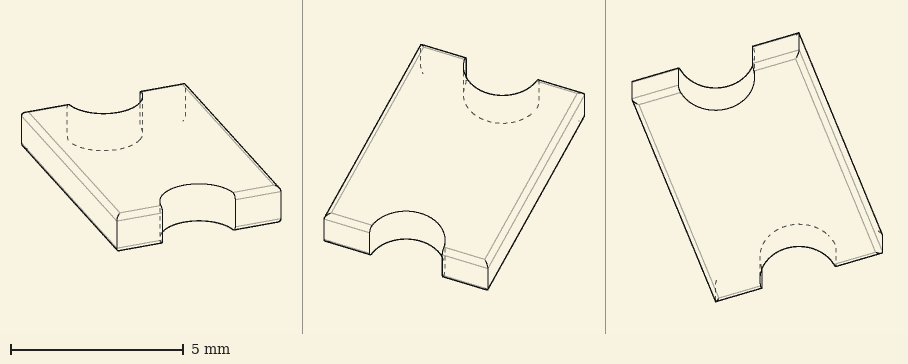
import cadquery as cq

length = 7.36
width = 5.12
thickness = 1.2

edge_radius = 0.16
notch_radius = 1.13

body = cq.Workplane("XY").box(length, width, thickness)
body = body.faces("<Z or >Z").edges().fillet(edge_radius)

notches = (
    cq.Workplane("XY")
    .pushPoints([(-length / 2, 0), (length / 2, 0)])
    .circle(notch_radius)
    .extrude(thickness, both=True)
)

result = body.cut(notches)